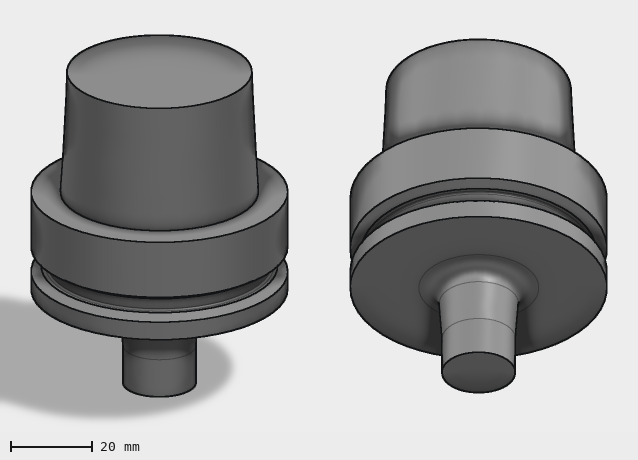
import cadquery as cq
import math


shank_length = 32.0
shank_base_radius = 48.6 / 2
shank_taper = 1 / 10
shank_top_radius = shank_base_radius - shank_length * shank_taper / 2

flange_radius = 63.0 / 2
flange_height = 26.0

groove_floor_radius = 55.0 / 2
groove_center_z = -18.0
channel_width = 3.75
channel_rim_radius = 29.0
channel_corner_radius = 0.5
mouth_angle = math.radians(30)

stem_length = 25.0
stem_tip_radius = 18.0 / 2
stem_tip_length = 10.0
stem_cone_angle = math.radians(4.0)
stem_root_fillet = 5.0


def revolve_profile(profile):
    """Turn a closed profile, drawn as (radius, Z), once around the Z axis."""
    return profile.close().revolve(360, (0, 0, 0), (0, 1, 0))


def make_shank():
    return revolve_profile(
        cq.Workplane("XZ")
        .lineTo(shank_base_radius, 0)
        .lineTo(shank_top_radius, shank_length)
        .lineTo(0, shank_length)
    )


def make_flange():
    return cq.Workplane("XY").circle(flange_radius).extrude(-flange_height)


def make_groove():
    """Ring-shaped body to be removed from the flange."""
    channel_half = channel_width / 2
    mouth_rise = (flange_radius - channel_rim_radius) * math.tan(mouth_angle)
    channel_top = groove_center_z + channel_half
    channel_bottom = groove_center_z - channel_half
    corner_start_radius = groove_floor_radius + channel_corner_radius
    return revolve_profile(
        cq.Workplane("XZ")
        .moveTo(flange_radius, channel_top + mouth_rise)
        .lineTo(channel_rim_radius, channel_top)
        .lineTo(corner_start_radius, channel_top)
        .radiusArc((groove_floor_radius, channel_top - channel_corner_radius), -channel_corner_radius)
        .lineTo(groove_floor_radius, channel_bottom + channel_corner_radius)
        .radiusArc((corner_start_radius, channel_bottom), -channel_corner_radius)
        .lineTo(channel_rim_radius, channel_bottom)
        .lineTo(flange_radius, channel_bottom - mouth_rise)
    )


def make_stem():
    """Cylindrical tip and slim cone, blended tangentially into the flange underside."""
    root_z = -flange_height
    end_z = root_z - stem_length
    cone_start_z = end_z + stem_tip_length
    cone_end_z = root_z - stem_root_fillet * (1 - math.sin(stem_cone_angle))
    cone_end_radius = stem_tip_radius + (cone_end_z - cone_start_z) * math.tan(stem_cone_angle)
    fillet_outer_radius = cone_end_radius + stem_root_fillet * math.cos(stem_cone_angle)
    return revolve_profile(
        cq.Workplane("XZ")
        .moveTo(0, root_z)
        .lineTo(0, end_z)
        .lineTo(stem_tip_radius, end_z)
        .lineTo(stem_tip_radius, cone_start_z)
        .lineTo(cone_end_radius, cone_end_z)
        .radiusArc((fillet_outer_radius, root_z), stem_root_fillet)
    )


grooved_flange = make_flange().cut(make_groove())
result = grooved_flange.union(make_shank()).union(make_stem())